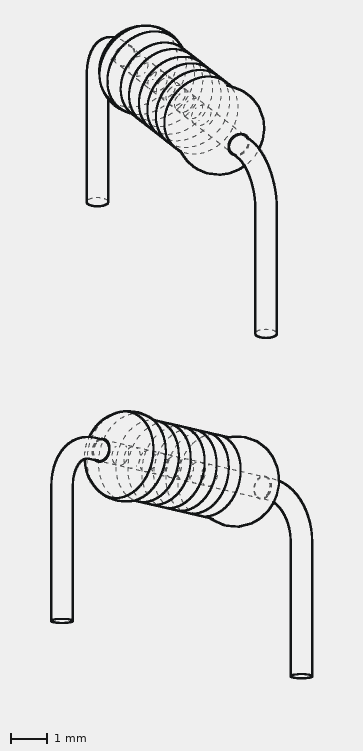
import cadquery as cq
import math

LEAD_RADIUS = 0.3
LEAD_SPAN = 10.76
BEND_RADIUS = 1.27
LEG_DROP = 5.08

TUBE_RADIUS = 1.15
BULB_RADIUS = 1.26
BULB_PEAK_X = 2.32
BULB_ARC_RADIUS = 0.94
TUBE_HALF_LENGTH = 1.56
COLLAR_RADIUS = 0.32
BODY_HALF_LENGTH = 3.43

BAND_WIDTH = 0.51
BAND_CENTERS = [-2.36, -1.2, -0.11, 0.91]


def arc_point(center, radius, angle):
    """Point on a circle, angle in radians from +X."""
    return (center[0] + radius * math.cos(angle), center[1] + radius * math.sin(angle))


def make_lead():
    leg_x = LEAD_SPAN / 2 - LEAD_RADIUS
    bend_x = leg_x - BEND_RADIUS
    bend_offset = BEND_RADIUS * math.sin(math.pi / 4)
    mid_x = bend_x + bend_offset
    mid_z = bend_offset - BEND_RADIUS
    path = (
        cq.Workplane("XZ")
        .moveTo(-leg_x, -LEG_DROP)
        .lineTo(-leg_x, -BEND_RADIUS)
        .threePointArc((-mid_x, mid_z), (-bend_x, 0))
        .lineTo(bend_x, 0)
        .threePointArc((mid_x, mid_z), (leg_x, -BEND_RADIUS))
        .lineTo(leg_x, -LEG_DROP)
    )
    leg_end = cq.Workplane("XY", origin=(-leg_x, 0, -LEG_DROP))
    return leg_end.circle(LEAD_RADIUS).sweep(path)


def make_half_body():
    """Revolved half of the body at +X, bored for the lead."""
    bulb_center = (BULB_PEAK_X, BULB_RADIUS - BULB_ARC_RADIUS)

    blend_length = BULB_PEAK_X - TUBE_HALF_LENGTH
    blend_angle = 2 * math.atan((BULB_RADIUS - TUBE_RADIUS) / blend_length)
    neck_arc_radius = blend_length / math.sin(blend_angle) - BULB_ARC_RADIUS
    neck_center = (TUBE_HALF_LENGTH, TUBE_RADIUS + neck_arc_radius)
    neck_mid = arc_point(neck_center, neck_arc_radius, (blend_angle - math.pi) / 2)
    bulb_start_angle = math.pi / 2 + blend_angle
    bulb_start = arc_point(bulb_center, BULB_ARC_RADIUS, bulb_start_angle)

    run = BODY_HALF_LENGTH - BULB_PEAK_X
    rise = COLLAR_RADIUS - bulb_center[1]
    flare_radius = (run**2 + rise**2 - BULB_ARC_RADIUS**2) / (2 * (BULB_ARC_RADIUS - rise))
    flare_center = (BODY_HALF_LENGTH, COLLAR_RADIUS + flare_radius)
    flare_angle = math.atan2(rise + flare_radius, run)
    bulb_end = arc_point(bulb_center, BULB_ARC_RADIUS, flare_angle)
    bulb_mid = arc_point(bulb_center, BULB_ARC_RADIUS, (bulb_start_angle + flare_angle) / 2)
    flare_mid_angle = (flare_angle + math.pi + 3 * math.pi / 2) / 2
    flare_mid = arc_point(flare_center, flare_radius, flare_mid_angle)

    return (
        cq.Workplane("XZ")
        .moveTo(0, LEAD_RADIUS)
        .lineTo(0, TUBE_RADIUS)
        .lineTo(TUBE_HALF_LENGTH, TUBE_RADIUS)
        .threePointArc(neck_mid, bulb_start)
        .threePointArc(bulb_mid, bulb_end)
        .threePointArc(flare_mid, (BODY_HALF_LENGTH, COLLAR_RADIUS))
        .lineTo(BODY_HALF_LENGTH, LEAD_RADIUS)
        .close()
        .revolve(360, (0, 0, 0), (1, 0, 0))
    )


def make_slice(whole_body, start_x, end_x):
    """Disc-shaped slice of the body between two X positions."""
    cutter_size = 4 * BULB_RADIUS
    cutter = (
        cq.Workplane("YZ", origin=(start_x, 0, 0))
        .rect(cutter_size, cutter_size)
        .extrude(end_x - start_x)
    )
    return whole_body.intersect(cutter)


lead = make_lead()

half_body = make_half_body()
whole_body = half_body.union(half_body.mirror("YZ"))

body_sections = []
color_bands = []
section_start = -BODY_HALF_LENGTH
for band_center in BAND_CENTERS:
    band_start = band_center - BAND_WIDTH / 2
    band_end = band_center + BAND_WIDTH / 2
    body_sections.append(make_slice(whole_body, section_start, band_start).val())
    color_bands.append(make_slice(whole_body, band_start, band_end).val())
    section_start = band_end
body_sections.append(make_slice(whole_body, section_start, BODY_HALF_LENGTH).val())

solids = [solid for piece in body_sections + color_bands for solid in piece.Solids()]
result = cq.Compound.makeCompound([lead.val(), *solids])